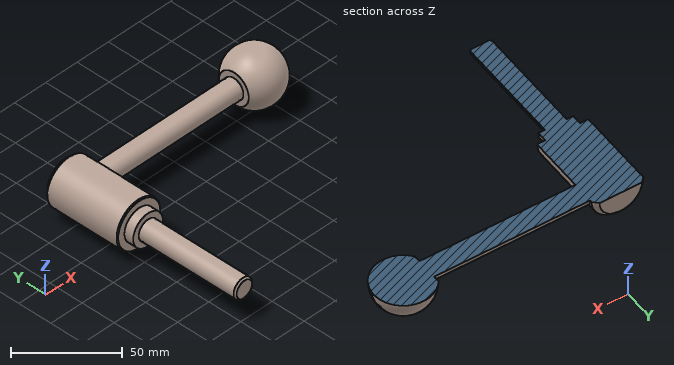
import cadquery as cq

overall_length = 141.0
hub_diameter = 28.0
hub_front = -36.5
hub_back = 9.7
hub_back_chamfer = 2.5
hub_front_chamfer = 0.5
collar_diameter = 19.0
collar_length = 5.5
stud_diameter = 12.0
stud_end = -102.1
stud_chamfer = 1.0
arm_diameter = 12.0
ball_diameter = 31.9
ball_flat_offset = 13.0

ball_center_x = overall_length - hub_diameter / 2 - ball_diameter / 2


def cylinder_along_y(diameter, y_start, y_end):
    """Cylinder on the hub axis between two Y positions."""
    return (
        cq.Workplane("XZ", origin=(0, y_end, 0))
        .circle(diameter / 2)
        .extrude(y_end - y_start)
    )


def make_hub():
    hub = cylinder_along_y(hub_diameter, hub_front, hub_back)
    hub = hub.faces(">Y").chamfer(hub_back_chamfer)
    return hub.faces("<Y").chamfer(hub_front_chamfer)


def make_collar():
    return cylinder_along_y(collar_diameter, hub_front - collar_length, hub_front)


def make_stud():
    stud = cylinder_along_y(stud_diameter, stud_end, hub_front)
    return stud.faces("<Y").chamfer(stud_chamfer)


def make_arm():
    return cq.Workplane("YZ").circle(arm_diameter / 2).extrude(ball_center_x)


def make_ball():
    ball = cq.Workplane("XY").sphere(ball_diameter / 2)
    keep_length = ball_flat_offset + ball_diameter
    keep = (
        cq.Workplane("YZ", origin=(-ball_flat_offset, 0, 0))
        .rect(2 * ball_diameter, 2 * ball_diameter)
        .extrude(keep_length)
    )
    return ball.intersect(keep).translate((ball_center_x, 0, 0))


result = make_hub().union(make_collar()).union(make_stud()).union(make_arm()).union(make_ball())